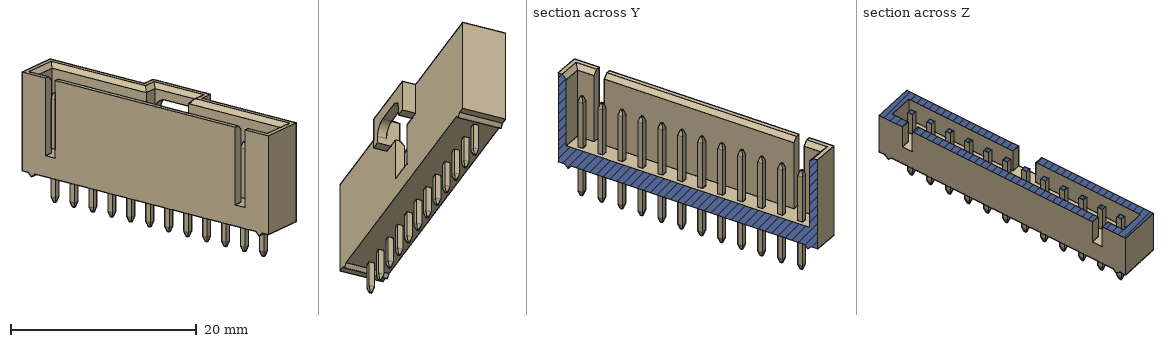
import cadquery as cq

length = 33.02
total_depth = 6.6
key_depth = 1.55
body_depth = total_depth - key_depth
body_height = 11.35
wall = 1.05
rim_chamfer = 0.53
cavity_depth = 8.9
floor_z = body_height - cavity_depth

key_width = 7.73
key_height = 3.8
key_bottom_z = body_height - key_height
key_inner_width = key_width - 2 * wall
notch_width = 3.05

window_height = 2.25
window_corner_radius = 1.4

pin_count = 12
pin_pitch = 2.55
pin_width = 0.63
pin_tip_width = 0.23
pin_tip_length = 0.63
total_height = 15.12
pin_bottom_z = body_height - total_height
pin_rise = 6.35
pin_top_z = floor_z + pin_rise
pin_y = body_depth / 2

slot_width = 1.3
slot_x = 5 * pin_pitch
rib_x = 6 * pin_pitch
rib_height = 0.43


def block(width, y_front, y_back, z_bottom, z_top, x_center=0):
    """Box centred on x_center, given by its Y and Z limits."""
    return (
        cq.Workplane("XY", origin=(x_center, (y_front + y_back) / 2, z_bottom))
        .rect(width, y_back - y_front)
        .extrude(z_top - z_bottom)
    )


def flared_opening(width, y_front, y_back):
    """Frustum that widens upward at 45 degrees to meet the top of the housing."""
    y_center = (y_front + y_back) / 2
    depth = y_back - y_front
    return (
        cq.Workplane("XY", origin=(0, y_center, body_height - rim_chamfer))
        .rect(width, depth)
        .workplane(offset=rim_chamfer)
        .rect(width + 2 * rim_chamfer, depth + 2 * rim_chamfer)
        .loft(ruled=True)
    )


def housing():
    inner_length = length - 2 * wall
    inner_back = body_depth - wall
    key_inner_back = total_depth - wall

    shell = block(length, 0, body_depth, 0, body_height)
    shell = shell.union(block(key_width, body_depth, total_depth, key_bottom_z, body_height))

    shell = shell.cut(block(inner_length, wall, inner_back, floor_z, body_height))
    shell = shell.cut(flared_opening(inner_length, wall, inner_back))
    shell = shell.cut(block(key_inner_width, wall, key_inner_back, key_bottom_z, body_height))
    shell = shell.cut(flared_opening(key_inner_width, wall, key_inner_back))

    lead_in = (
        cq.Workplane("YZ", origin=(-key_inner_width / 2, 0, 0))
        .moveTo(inner_back, key_bottom_z)
        .lineTo(inner_back + rim_chamfer, key_bottom_z)
        .lineTo(inner_back, key_bottom_z - rim_chamfer)
        .close()
        .extrude(key_inner_width)
    )
    shell = shell.cut(lead_in)

    window_top_z = key_bottom_z + window_height
    window = block(key_inner_width, key_inner_back, total_depth, key_bottom_z, window_top_z)
    shell = shell.cut(window.edges("|Y and >Z").fillet(window_corner_radius))

    shell = shell.cut(block(notch_width, inner_back, body_depth, floor_z, key_bottom_z))
    for side in (-1, 1):
        shell = shell.cut(block(slot_width, 0, wall, floor_z, body_height, side * slot_x))
    return shell


def crush_rib(x):
    """Triangular rib with 45-degree flanks under the base, running from front to back."""
    return (
        cq.Workplane("XZ", origin=(x, 0, 0))
        .moveTo(-rib_height, 0)
        .lineTo(rib_height, 0)
        .lineTo(0, -rib_height)
        .close()
        .extrude(-body_depth)
    )


def pin_tip(x, z_base, direction):
    """Pyramid-shaped pin end pointing up (direction 1) or down (direction -1)."""
    return (
        cq.Workplane("XY", origin=(x, pin_y, z_base))
        .rect(pin_width, pin_width)
        .workplane(offset=direction * pin_tip_length)
        .rect(pin_tip_width, pin_tip_width)
        .loft(ruled=True)
    )


def pin(x):
    shank_bottom_z = pin_bottom_z + pin_tip_length
    shank_top_z = pin_top_z - pin_tip_length
    half_width = pin_width / 2
    shank = block(pin_width, pin_y - half_width, pin_y + half_width, shank_bottom_z, shank_top_z, x)
    return shank.union(pin_tip(x, shank_top_z, 1)).union(pin_tip(x, shank_bottom_z, -1))


result = housing()
for side in (-1, 1):
    result = result.union(crush_rib(side * rib_x))
for index in range(pin_count):
    result = result.union(pin((index - (pin_count - 1) / 2) * pin_pitch))